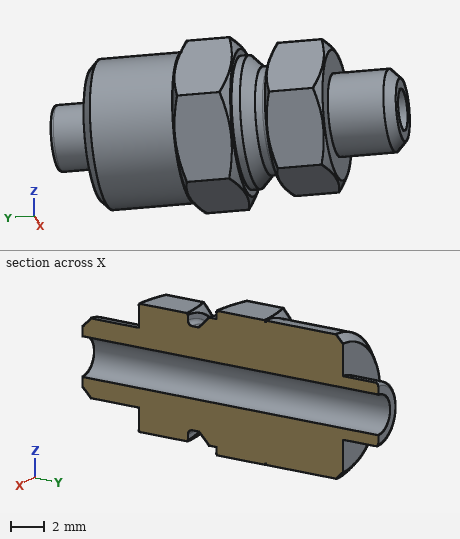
import cadquery as cq
import math

LENGTH = 21.0

THREAD_DIAMETER = 5.0
THREAD_LENGTH = 4.0
THREAD_CHAMFER = 0.6

HEX_LENGTH = 3.5
SMALL_HEX_FLATS = 8.0
BIG_HEX_FLATS = 9.0
HEX_FACE_INSET = 0.2
HEX_CHAMFER_ANGLE = 30.0

NECK_DIAMETER = 6.5
NECK_FILLET = 0.3
COLLAR_DIAMETER = 8.0
COLLAR_LENGTH = 0.5
GAP_LENGTH = 2.0

SLEEVE_DIAMETER = BIG_HEX_FLATS
SLEEVE_CHAMFER = 0.5
STUB_DIAMETER = 4.0
STUB_LENGTH = 2.5
STUB_FILLET = 0.2

BORE_DIAMETER = 2.5

small_hex_end = THREAD_LENGTH + HEX_LENGTH
big_hex_start = small_hex_end + GAP_LENGTH
big_hex_end = big_hex_start + HEX_LENGTH
sleeve_end = LENGTH - STUB_LENGTH


def cylinder(diameter, start, end):
    """Round bar on the Y axis from start to end."""
    plane = cq.Workplane("XZ", origin=(0, start, 0))
    return plane.circle(diameter / 2).extrude(start - end)


def revolve_profile(points):
    """Turn a closed (radius, Y) outline around the Y axis."""
    return cq.Workplane("XY").polyline(points).close().revolve(360, (0, 0), (0, 1))


def chamfered_hexagon(flats, start):
    """Hexagon with conically chamfered corners at both ends."""
    end = start + HEX_LENGTH
    corner_radius = flats / math.sqrt(3)
    face_radius = (flats - HEX_FACE_INSET) / 2
    drop = (corner_radius - face_radius) * math.tan(math.radians(HEX_CHAMFER_ANGLE))
    plane = cq.Workplane("XZ", origin=(0, start, 0))
    prism = plane.polygon(6, 2 * corner_radius).extrude(-HEX_LENGTH)
    envelope = revolve_profile([
        (0, start),
        (face_radius, start),
        (corner_radius, start + drop),
        (corner_radius, end - drop),
        (face_radius, end),
        (0, end),
    ])
    return prism.intersect(envelope)


def neck_and_collar():
    """Neck with a concave root fillet, widening at 45 degrees to the collar."""
    neck_radius = NECK_DIAMETER / 2
    collar_radius = COLLAR_DIAMETER / 2
    collar_start = big_hex_start - COLLAR_LENGTH
    cone_start = collar_start - (collar_radius - neck_radius)
    fillet_radius_end = neck_radius + NECK_FILLET
    fillet_end = small_hex_end + NECK_FILLET
    fillet_sag = NECK_FILLET * (1 - math.sqrt(0.5))
    return (
        cq.Workplane("XY")
        .moveTo(0, small_hex_end)
        .lineTo(fillet_radius_end, small_hex_end)
        .threePointArc(
            (neck_radius + fillet_sag, small_hex_end + fillet_sag),
            (neck_radius, fillet_end),
        )
        .lineTo(neck_radius, cone_start)
        .lineTo(collar_radius, collar_start)
        .lineTo(collar_radius, big_hex_start)
        .lineTo(0, big_hex_start)
        .close()
        .revolve(360, (0, 0), (0, 1))
    )


thread = cylinder(THREAD_DIAMETER, 0, THREAD_LENGTH).faces("<Y").chamfer(THREAD_CHAMFER)
small_hex = chamfered_hexagon(SMALL_HEX_FLATS, THREAD_LENGTH)
big_hex = chamfered_hexagon(BIG_HEX_FLATS, big_hex_start)
sleeve = cylinder(SLEEVE_DIAMETER, big_hex_end, sleeve_end).faces(">Y").chamfer(SLEEVE_CHAMFER)
stub = cylinder(STUB_DIAMETER, sleeve_end, LENGTH).faces(">Y").edges().fillet(STUB_FILLET)

body = thread.union(small_hex).union(neck_and_collar()).union(big_hex).union(sleeve).union(stub)

result = body.cut(cylinder(BORE_DIAMETER, 0, LENGTH))